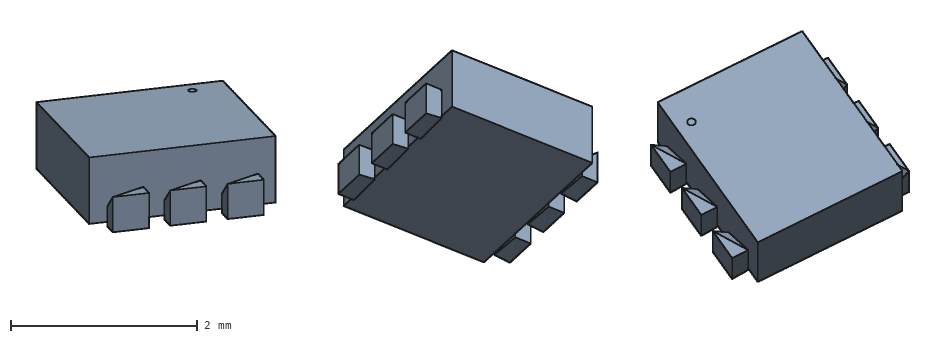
import cadquery as cq

overall_length = 2.21
overall_height = 0.81

housing_length = 1.808
housing_width = 2.11
housing_height = 0.762
housing_bottom = overall_height - housing_height

lead_reach = (overall_length - housing_length) / 2
lead_width = 0.409
lead_height = 0.405
lead_pitch = 0.65
leads_per_side = 3
top_cut_depth = 0.181
bottom_cut_depth = 0.022

marker_diameter = 0.09
marker_depth = 0.022
marker_x = -0.72
marker_y = lead_pitch


def make_marker():
    return (
        cq.Workplane("XY", origin=(marker_x, marker_y, overall_height - marker_depth))
        .circle(marker_diameter / 2)
        .extrude(marker_depth)
    )


def make_housing():
    block = cq.Workplane("XY", origin=(0, 0, housing_bottom)).box(
        housing_length, housing_width, housing_height, centered=(True, True, False)
    )
    return block.cut(make_marker())


def make_corner_wedge(corner, x_leg, y_leg, z_leg):
    """Tetrahedron with three perpendicular legs that start at the given corner."""
    tip = corner + cq.Vector(0, 0, z_leg)
    along_x = corner + cq.Vector(x_leg, 0, 0)
    along_y = corner + cq.Vector(0, y_leg, 0)
    triangles = [
        (corner, along_x, along_y),
        (corner, along_x, tip),
        (corner, along_y, tip),
        (along_x, along_y, tip),
    ]
    faces = [cq.Face.makeFromWires(cq.Wire.makePolygon(points, close=True)) for points in triangles]
    return cq.Solid.makeSolid(cq.Shell.makeShell(faces))


def make_left_lead(center_y):
    """Lead on the -X side, with two corners sliced off where it meets the housing."""
    inner_x = -housing_length / 2
    front_y = center_y - lead_width / 2
    back_y = center_y + lead_width / 2
    block = cq.Workplane("XY", origin=(inner_x - lead_reach / 2, center_y, 0)).box(
        lead_reach, lead_width, lead_height, centered=(True, True, False)
    )
    top_wedge = make_corner_wedge(
        cq.Vector(inner_x, back_y, lead_height), -lead_reach, -lead_width, -top_cut_depth
    )
    bottom_wedge = make_corner_wedge(
        cq.Vector(inner_x, front_y, 0), -lead_reach, lead_width, bottom_cut_depth
    )
    return block.cut(cq.Workplane(top_wedge)).cut(cq.Workplane(bottom_wedge))


def make_leads():
    """Both rows of leads; the right row is the left one turned half a turn about Z."""
    leads = []
    for index in range(leads_per_side):
        center_y = (index - (leads_per_side - 1) / 2) * lead_pitch
        left_lead = make_left_lead(center_y)
        right_lead = left_lead.rotate((0, 0, 0), (0, 0, 1), 180)
        leads += [*left_lead.solids().vals(), *right_lead.solids().vals()]
    return leads


housing = make_housing()
marker = make_marker()
leads = make_leads()

result = cq.Compound.makeCompound([*housing.solids().vals(), marker.val(), *leads])